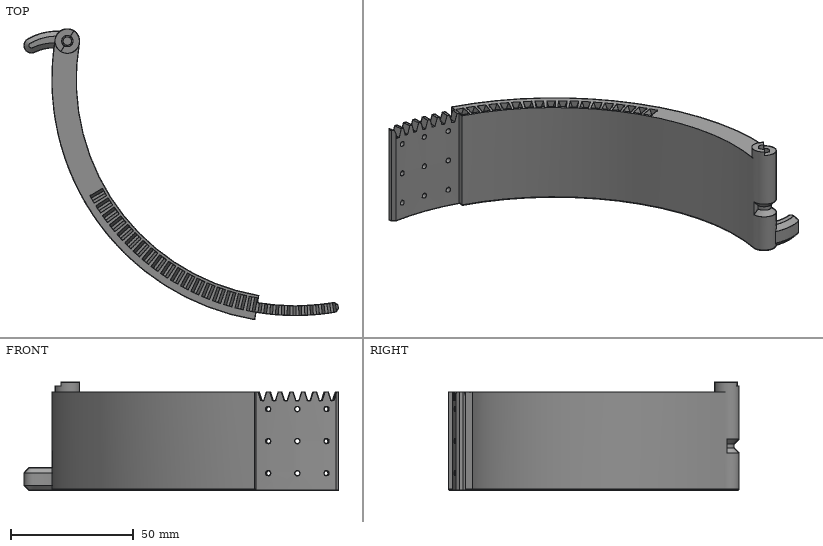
import cadquery as cq
import math


overall_length = 128.0
body_height = 40.0
body_outer_radius = 99.0
body_thickness = 10.0
body_inner_radius = body_outer_radius - body_thickness
body_mid_radius = body_outer_radius - body_thickness / 2
end_inset_angle = 9.6
body_end_angle = -end_inset_angle
knuckle_angle = -90.0 - end_inset_angle
base_chamfer = 0.5

strap_outer_radius = 96.0
strap_inner_radius = 92.0
strap_end_angle = 10.7
strap_end_chamfer = 1.3
strap_embed_angle = 1.0
strap_hole_diameter = 2.0
strap_hole_rows = 3
strap_hole_columns = 3
strap_hole_row_pitch = 13.0

teeth_per_turn = 126
tooth_pitch_angle = 360.0 / teeth_per_turn
middle_valley_angle = 0.5
strap_valleys_each_side = 3
body_pocket_count = 18
valley_depth = 3.6
valley_top_width = 3.5
valley_floor_width = 1.2
pocket_inner_radius = 90.1
pocket_outer_radius = 96.0
teeth_per_hole_column = 2.5
strap_hole_column_angle = teeth_per_hole_column * tooth_pitch_angle

knuckle_radius = body_thickness / 2
knuckle_height = 44.0
knuckle_step = 1.5
step_line_angle = 58.0
bore_diameter = 4.6
bore_depth = knuckle_height - body_height
pilot_diameter = 3.5
pilot_depth = 7.9

waist_bottom = 15.2
waist_top = 20.9
waist_radius = 3.0
waist_cone_height = 2.0
relief_outer_offset = 4.7
relief_inner_offset = 3.7

arm_root_width = 7.3
arm_tip_width = 6.1
arm_height = 9.2
arm_chamfer = 2.0
arm_arc_radius = 20.5
arm_centre_direction = 256.0

clearance = 1.3


def arc_point(radius, angle):
    """Point in the XY plane at an angle measured from -Y towards +X."""
    turn = math.radians(angle)
    return (radius * math.sin(turn), -radius * math.cos(turn))


knuckle_x, knuckle_y = arc_point(body_mid_radius, knuckle_angle)


def arc_band(inner_radius, outer_radius, start_angle, end_angle):
    """Upright curved band with radial end faces."""
    middle_angle = (start_angle + end_angle) / 2
    return (
        cq.Workplane("XY")
        .moveTo(*arc_point(outer_radius, start_angle))
        .threePointArc(arc_point(outer_radius, middle_angle), arc_point(outer_radius, end_angle))
        .lineTo(*arc_point(inner_radius, end_angle))
        .threePointArc(arc_point(inner_radius, middle_angle), arc_point(inner_radius, start_angle))
        .close()
        .extrude(body_height)
    )


def knuckle_cylinder(radius, bottom, top):
    """Cylinder on the hinge axis between two heights."""
    return cq.Workplane("XY", origin=(knuckle_x, knuckle_y, bottom)).circle(radius).extrude(top - bottom)


def body_with_knuckle():
    """Arc body joined to the knuckle, with its base edge broken."""
    body = arc_band(body_inner_radius, body_outer_radius, knuckle_angle, body_end_angle)
    joined = body.union(knuckle_cylinder(knuckle_radius, 0, knuckle_height))
    return joined.faces("<Z").chamfer(base_chamfer)


def step_cutter():
    """Block on one side of the step line that lowers one half of the knuckle top."""
    size = 2 * body_thickness
    block = cq.Workplane("XY").box(size, size, knuckle_step + clearance, centered=(True, False, False))
    block = block.rotate((0, 0, 0), (0, 0, 1), step_line_angle)
    return block.translate((knuckle_x, knuckle_y, knuckle_height - knuckle_step))


def waist_relief():
    """Slot round the knuckle, reaching into the body on its outer half only.

    The slot's wall in the body slants between the outer face and the hinge axis.
    """
    reach = knuckle_radius + clearance
    wall_slope = (relief_outer_offset - relief_inner_offset) / knuckle_radius
    return (
        cq.Workplane("XY", origin=(knuckle_x, knuckle_y, waist_bottom))
        .polyline([
            (-reach, reach),
            (-reach, -relief_inner_offset - wall_slope * reach),
            (0, -relief_inner_offset),
            (0, 0),
            (reach, 0),
            (reach, reach),
        ])
        .close()
        .extrude(waist_top - waist_bottom)
    )


def waist_core():
    """Core left in the slot: a short cylinder between two cones."""
    return (
        cq.Workplane("XZ", origin=(knuckle_x, knuckle_y, 0))
        .polyline([
            (0, waist_bottom),
            (knuckle_radius, waist_bottom),
            (waist_radius, waist_bottom + waist_cone_height),
            (waist_radius, waist_top - waist_cone_height),
            (knuckle_radius, waist_top),
            (0, waist_top),
        ])
        .close()
        .revolve(360, (0, 0, 0), (0, 1, 0))
    )


def strap_right_x():
    """Largest X of the strap, at the outer end of its flat end face."""
    return arc_point(strap_outer_radius - strap_end_chamfer, strap_end_angle)[0]


def hook_arm():
    """Curved, tapering, round-ended arm on the hinge axis, chamfered above and below."""
    half_root = arm_root_width / 2
    half_tip = arm_tip_width / 2
    half_middle = (half_root + half_tip) / 2
    direction = math.radians(arm_centre_direction)
    centre_x = knuckle_x + arm_arc_radius * math.cos(direction)
    centre_y = knuckle_y + arm_arc_radius * math.sin(direction)

    tip_x = strap_right_x() - overall_length + half_tip
    root_turn = direction - math.pi
    tip_turn = math.acos((tip_x - centre_x) / arm_arc_radius)
    middle_turn = (root_turn + tip_turn) / 2

    def on_arm(offset, turn):
        radius = arm_arc_radius + offset
        return (centre_x + radius * math.cos(turn), centre_y + radius * math.sin(turn))

    tip_centre = on_arm(0, tip_turn)
    tip_apex = (
        tip_centre[0] - half_tip * math.sin(tip_turn),
        tip_centre[1] + half_tip * math.cos(tip_turn),
    )
    return (
        cq.Workplane("XY")
        .moveTo(*on_arm(half_root, root_turn))
        .threePointArc(on_arm(half_middle, middle_turn), on_arm(half_tip, tip_turn))
        .threePointArc(tip_apex, on_arm(-half_tip, tip_turn))
        .threePointArc(on_arm(-half_middle, middle_turn), on_arm(-half_root, root_turn))
        .close()
        .extrude(arm_height)
        .faces("<Z or >Z")
        .chamfer(arm_chamfer)
    )


def valley_cutter(inner_radius, outer_radius, angle):
    """Tapered valley running radially between two radii, open at the top."""
    floor = body_height - valley_depth
    flank_slope = (valley_top_width - valley_floor_width) / 2 / valley_depth
    half_floor = valley_floor_width / 2
    half_opening = valley_top_width / 2 + flank_slope * clearance
    return (
        cq.Workplane("XZ", origin=(0, -outer_radius, 0))
        .polyline([
            (-half_floor, floor),
            (half_floor, floor),
            (half_opening, body_height + clearance),
            (-half_opening, body_height + clearance),
        ])
        .close()
        .extrude(inner_radius - outer_radius)
        .rotate((0, 0, 0), (0, 0, 1), angle)
    )


def strap():
    """Thin band rooted in the body end, with its free end corners chamfered."""
    start_angle = body_end_angle - strap_embed_angle
    band = arc_band(strap_inner_radius, strap_outer_radius, start_angle, strap_end_angle)
    return band.edges("|Z").edges(">>X[-1] or >>X[-2]").chamfer(strap_end_chamfer)


def strap_hole(angle, height):
    """Radial hole through the strap."""
    return (
        cq.Workplane("XZ", origin=(0, -strap_outer_radius - clearance, height))
        .circle(strap_hole_diameter / 2)
        .extrude(strap_inner_radius - strap_outer_radius - 2 * clearance)
        .rotate((0, 0, 0), (0, 0, 1), angle)
    )


result = body_with_knuckle()
result = result.cut(step_cutter())
result = result.cut(waist_relief()).union(waist_core())
result = result.union(hook_arm())
result = result.cut(knuckle_cylinder(bore_diameter / 2, knuckle_height - bore_depth, knuckle_height))
result = result.cut(knuckle_cylinder(pilot_diameter / 2, knuckle_height - pilot_depth, knuckle_height))

result = result.union(strap())

for step in range(-strap_valleys_each_side, strap_valleys_each_side + 1):
    valley_angle = middle_valley_angle + step * tooth_pitch_angle
    result = result.cut(
        valley_cutter(strap_inner_radius - clearance, strap_outer_radius + clearance, valley_angle)
    )
for pocket in range(body_pocket_count):
    pocket_angle = middle_valley_angle - (strap_valleys_each_side + 1 + pocket) * tooth_pitch_angle
    result = result.cut(valley_cutter(pocket_inner_radius, pocket_outer_radius, pocket_angle))

for column in range(strap_hole_columns):
    hole_angle = middle_valley_angle + (column - (strap_hole_columns - 1) / 2) * strap_hole_column_angle
    for row in range(strap_hole_rows):
        hole_height = body_height / 2 + (row - (strap_hole_rows - 1) / 2) * strap_hole_row_pitch
        result = result.cut(strap_hole(hole_angle, hole_height))